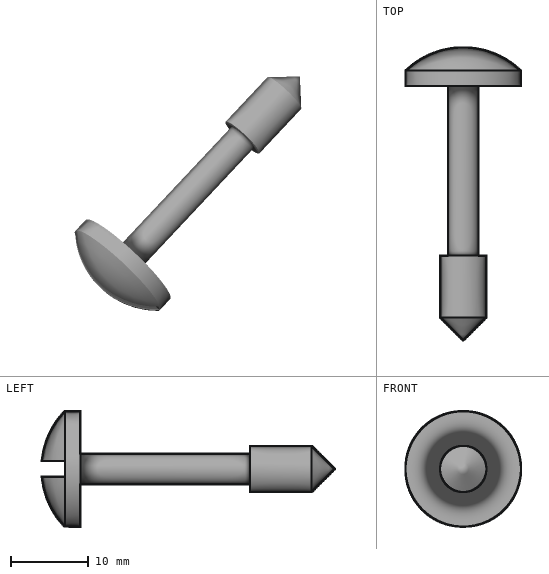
import cadquery as cq
import math

total_length = 37.98
head_diameter = 15.0
rim_thickness = 2.0
dome_height = 3.0
shank_diameter = 4.0
tip_diameter = 6.0
tip_length = 8.0
cone_length = tip_diameter / 2
slot_width = 2.0
slot_depth = dome_height

rim_top = rim_thickness
lip_top = rim_top + dome_height
point_end = lip_top - total_length
tip_front = point_end + cone_length
tip_back = tip_front + tip_length

head_radius = head_diameter / 2
lip_offset = slot_width / 2
dome_center = rim_top + (dome_height**2 + lip_offset**2 - head_radius**2) / (2 * dome_height)
dome_radius = math.hypot(head_radius, rim_top - dome_center)
crown = dome_center + dome_radius


def make_pin():
    """Revolve the half profile of head, shank and pointed tip about Y."""
    profile = (
        cq.Workplane("XY")
        .moveTo(0, point_end)
        .lineTo(tip_diameter / 2, tip_front)
        .lineTo(tip_diameter / 2, tip_back)
        .lineTo(shank_diameter / 2, tip_back)
        .lineTo(shank_diameter / 2, 0)
        .lineTo(head_radius, 0)
        .lineTo(head_radius, rim_top)
        .threePointArc((lip_offset, lip_top), (0, crown))
        .close()
    )
    return profile.revolve(360, (0, 0, 0), (0, 1, 0))


def make_slot():
    """Screwdriver slot running along X right across the dome; the cutter extends past the crown."""
    slot = cq.Workplane("XY").box(head_diameter, 2 * slot_depth, slot_width)
    return slot.translate((0, lip_top, 0))


result = make_pin().cut(make_slot())